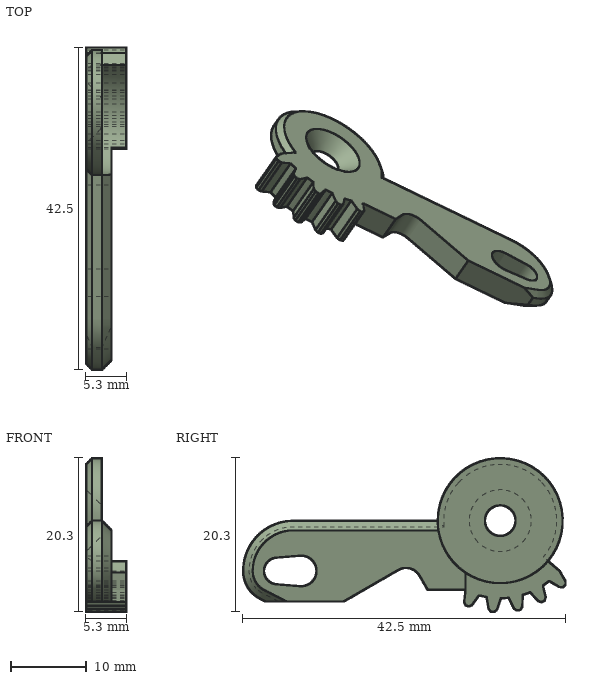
import cadquery as cq
import math


overall_length = 42.5

disc_thickness = 2.1
arm_thickness = 3.35
gear_thickness = 5.3
front_chamfer = 0.8
back_chamfer = arm_thickness - disc_thickness

disc_radius = 8.25
hole_radius = 2.0
countersink_radius = hole_radius + disc_thickness

root_radius = 10.25
shoulder_radius = 11.73
tip_radius = 12.05
tooth_count = 5
tooth_pitch = 16.4
first_tooth_angle = -44.4
root_half_angle = 5.4
shoulder_half_angle = 2.8
tip_half_angle = 1.1

slot_height = -6.63
top_arc_radius = -slot_height
tooth_reach = tip_radius * math.sin(math.radians(tip_half_angle - first_tooth_angle))
end_reach = overall_length - tooth_reach
end_radius = 4.12
end_slope = 27
arm_bottom = -10.65
web_bottom = -9.15

notch_start = 9.55
notch_end = 20.6
notch_slope = 30
notch_radius = 2.05

slot_inner_reach = 26.2
slot_inner_radius = 2.0
slot_outer_reach = 29.35
slot_outer_radius = 1.75


def polar(radius, angle):
    """Point at an angle in degrees from straight down, positive toward the arm."""
    turn = math.radians(angle)
    return (radius * math.sin(turn), -radius * math.cos(turn))


def sketch(x=0):
    """Sketch plane facing -X, so that extrusion by a negative length runs along +X."""
    return cq.Workplane(cq.Plane(origin=(x, 0, 0), xDir=(0, -1, 0), normal=(-1, 0, 0)))


def make_disc():
    disc = sketch().circle(disc_radius).extrude(-disc_thickness)
    return disc.faces("<X").chamfer(front_chamfer)


def make_arm():
    arc_reach = end_reach - top_arc_radius
    end_center = end_reach - end_radius
    tangent_reach, tangent_drop = polar(end_radius, end_slope)
    tangent_point = (end_center + tangent_reach, slot_height + tangent_drop)
    overrun_bottom = 2 * arm_bottom
    overrun_drop = tangent_point[1] - overrun_bottom
    overrun_reach = tangent_point[0] - overrun_drop / math.tan(math.radians(end_slope))
    top_mid = polar(top_arc_radius, 135)
    end_mid = polar(end_radius, (90 + end_slope) / 2)
    blank = (
        sketch()
        .lineTo(arc_reach, 0)
        .threePointArc((arc_reach + top_mid[0], slot_height + top_mid[1]), (end_reach, slot_height))
        .threePointArc((end_center + end_mid[0], slot_height + end_mid[1]), tangent_point)
        .lineTo(overrun_reach, overrun_bottom)
        .lineTo(0, overrun_bottom)
        .close()
        .extrude(-arm_thickness)
    )
    blank = blank.faces("<X").chamfer(front_chamfer)
    blank = blank.faces(">X").chamfer(back_chamfer)

    slope = math.radians(notch_slope)
    notch_span = notch_end - notch_start
    notch_drop = web_bottom - arm_bottom
    short_side = notch_span * math.sin(slope) - notch_drop * math.cos(slope)
    notch_apex = (
        notch_start + short_side * math.sin(slope),
        web_bottom + short_side * math.cos(slope),
    )
    lower_limit = (
        sketch()
        .moveTo(0, 0)
        .lineTo(0, web_bottom)
        .lineTo(notch_start, web_bottom)
        .lineTo(*notch_apex)
        .lineTo(notch_end, arm_bottom)
        .lineTo(end_reach, arm_bottom)
        .lineTo(end_reach, 0)
        .close()
        .extrude(-arm_thickness)
    )
    apex_edge = cq.selectors.NearestToPointSelector((arm_thickness / 2, -notch_apex[0], notch_apex[1]))
    lower_limit = lower_limit.edges("|X").edges(apex_edge).fillet(notch_radius)
    return blank.intersect(lower_limit)


def make_gear_sector():
    tooth_angles = [first_tooth_angle + i * tooth_pitch for i in range(tooth_count)]
    first_root = tooth_angles[0] - root_half_angle
    last_root = polar(root_radius, tooth_angles[-1] + root_half_angle)
    outline = sketch().lineTo(*polar(root_radius, first_root))
    for angle in tooth_angles:
        if angle != tooth_angles[0]:
            gap_middle = polar(root_radius, angle - tooth_pitch / 2)
            outline = outline.threePointArc(gap_middle, polar(root_radius, angle - root_half_angle))
        outline = (
            outline.lineTo(*polar(shoulder_radius, angle - shoulder_half_angle))
            .lineTo(*polar(tip_radius, angle - tip_half_angle))
            .lineTo(*polar(tip_radius, angle + tip_half_angle))
            .lineTo(*polar(shoulder_radius, angle + shoulder_half_angle))
            .lineTo(*polar(root_radius, angle + root_half_angle))
        )
    return outline.lineTo(last_root[0], 0).close().extrude(-gear_thickness)


def make_slot():
    lean = math.asin((slot_inner_radius - slot_outer_radius) / (slot_outer_reach - slot_inner_reach))
    inner_reach = slot_inner_reach + slot_inner_radius * math.sin(lean)
    outer_reach = slot_outer_reach + slot_outer_radius * math.sin(lean)
    inner_rise = slot_inner_radius * math.cos(lean)
    outer_rise = slot_outer_radius * math.cos(lean)
    outer_end = (slot_outer_reach + slot_outer_radius, slot_height)
    inner_end = (slot_inner_reach - slot_inner_radius, slot_height)
    return (
        sketch()
        .moveTo(inner_reach, slot_height + inner_rise)
        .lineTo(outer_reach, slot_height + outer_rise)
        .threePointArc(outer_end, (outer_reach, slot_height - outer_rise))
        .lineTo(inner_reach, slot_height - inner_rise)
        .threePointArc(inner_end, (inner_reach, slot_height + inner_rise))
        .close()
        .extrude(-arm_thickness)
    )


clearance = sketch(disc_thickness).circle(disc_radius).extrude(-(gear_thickness - disc_thickness))

hole = (
    sketch()
    .circle(countersink_radius)
    .workplane(offset=-disc_thickness)
    .circle(hole_radius)
    .loft()
)

body = make_disc().union(make_arm()).union(make_gear_sector())
result = body.cut(clearance).cut(hole).cut(make_slot())